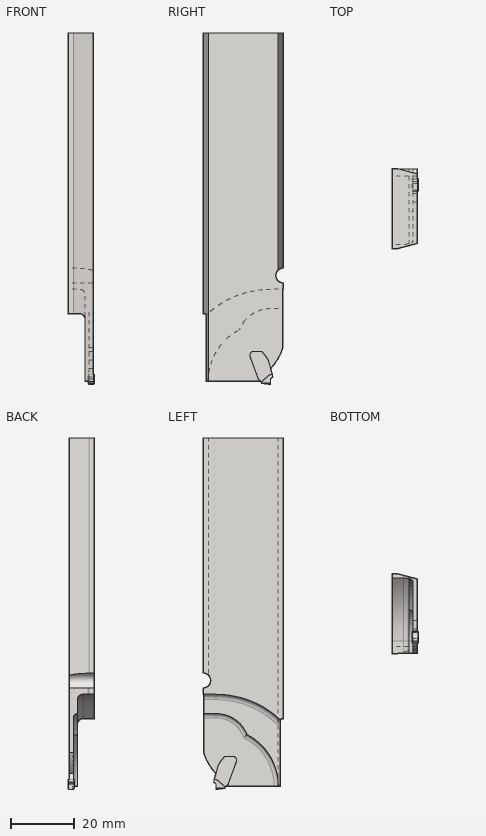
import cadquery as cq
import math

TOTAL_LENGTH = 110.0
SHANK_WIDTH = 25.1
SHANK_THICKNESS = 7.9
FLAT_EDGE = 1.6
BEVEL_INSET = 1.6
BLADE_END_Z = 1.0
HEAD_BACK_Y = 25.0

NOTCH_Z = 34.1
NOTCH_RADIUS = 2.3

RECESS_FLOOR_X = 5.3
RECESS_FILLET = 1.6
RECESS_RADIUS = 29.3
RECESS_TOP_Z = 29.8
RECESS_LEDGE_Z = 22.1
ARC_START_Y = 21.1

BLADE_FLOOR_X = 6.6
BLADE_FILLET = 1.3
INNER_RADIUS = 10.6
INNER_TOP_Z = 23.8
NOSE_RADIUS = 18.3
NOSE_CENTER_Y = 19.8

HEAD_OVERHANG = 0.3
HEAD_CHAMFER = 0.2
INSERT_TOP_Z = 10.3
HEAD_HEEL = (21.7, 3.2)
HEAD_STEP = (20.7, 3.0)
HEAD_TOE = (18.2, 0.8)

HEEL_TOP_Z = 11.9
HEEL_MIDDLE = (23.4, 8.0)
HEEL_END = (21.1, 5.0)

MARGIN = 3.3


def circle_height(center_y, center_z, radius, y):
    """Z of the upper half of a circle at a given Y."""
    return center_z + math.sqrt(radius**2 - (y - center_y) ** 2)


def slab(outline, x_start, x_end):
    """Extrude a YZ outline between two X positions."""
    return outline.extrude(x_end - x_start).translate((x_start, 0, 0))


def make_shank():
    blank = (
        cq.Workplane("XY", origin=(0, 0, BLADE_END_Z))
        .polyline([
            (0, 0),
            (FLAT_EDGE, 0),
            (SHANK_THICKNESS, BEVEL_INSET),
            (SHANK_THICKNESS, SHANK_WIDTH - BEVEL_INSET),
            (FLAT_EDGE, SHANK_WIDTH),
            (0, SHANK_WIDTH),
        ])
        .close()
        .extrude(TOTAL_LENGTH - BLADE_END_Z)
    )
    bevel_slope = BEVEL_INSET / (SHANK_THICKNESS - FLAT_EDGE)
    head_start_x = FLAT_EDGE + (SHANK_WIDTH - HEAD_BACK_Y) / bevel_slope
    square_back = cq.Workplane("XY", origin=(0, 0, BLADE_END_Z)).polyline([
        (head_start_x, SHANK_WIDTH / 2),
        (SHANK_THICKNESS, SHANK_WIDTH / 2),
        (SHANK_THICKNESS, HEAD_BACK_Y),
        (head_start_x, HEAD_BACK_Y),
    ]).close().extrude(NOTCH_Z - BLADE_END_Z)
    return blank.union(square_back)


def make_notch():
    circle = cq.Workplane("YZ").center(SHANK_WIDTH, NOTCH_Z).circle(NOTCH_RADIUS)
    return slab(circle, -MARGIN, SHANK_THICKNESS + MARGIN)


def make_outer_recess():
    center_z = RECESS_TOP_Z - RECESS_RADIUS
    ledge_rise = RECESS_LEDGE_Z - center_z
    arc_end_y = ARC_START_Y - math.sqrt(RECESS_RADIUS**2 - ledge_rise**2)
    middle_y = (ARC_START_Y + arc_end_y) / 2
    middle_z = circle_height(ARC_START_Y, center_z, RECESS_RADIUS, middle_y)
    outline = (
        cq.Workplane("YZ")
        .moveTo(SHANK_WIDTH + MARGIN, RECESS_TOP_Z)
        .lineTo(ARC_START_Y, RECESS_TOP_Z)
        .threePointArc((middle_y, middle_z), (arc_end_y, RECESS_LEDGE_Z))
        .lineTo(-MARGIN, RECESS_LEDGE_Z)
        .lineTo(-MARGIN, -MARGIN)
        .lineTo(SHANK_WIDTH + MARGIN, -MARGIN)
        .close()
    )
    return slab(outline, -MARGIN, RECESS_FLOOR_X).faces(">X").edges().fillet(RECESS_FILLET)


def make_inner_recess():
    """Two overlapping pockets: a rounded slot below the straight edge, and a disc behind the blade nose."""
    inner_center_z = INNER_TOP_Z - INNER_RADIUS
    diagonal = INNER_RADIUS * math.sqrt(0.5)
    slot_outline = (
        cq.Workplane("YZ")
        .moveTo(SHANK_WIDTH + MARGIN, INNER_TOP_Z)
        .lineTo(ARC_START_Y, INNER_TOP_Z)
        .threePointArc(
            (ARC_START_Y - diagonal, inner_center_z + diagonal),
            (ARC_START_Y - INNER_RADIUS, inner_center_z),
        )
        .lineTo(ARC_START_Y - INNER_RADIUS, -MARGIN)
        .lineTo(SHANK_WIDTH + MARGIN, -MARGIN)
        .close()
    )
    disc_outline = cq.Workplane("YZ").center(NOSE_CENTER_Y, BLADE_END_Z).circle(NOSE_RADIUS)
    slot, disc = [
        slab(outline, RECESS_FLOOR_X - MARGIN, BLADE_FLOOR_X).faces(">X").edges().fillet(BLADE_FILLET)
        for outline in (slot_outline, disc_outline)
    ]
    return slot.union(disc)


def make_heel_relief():
    """Cutter for the curved back corner of the blade, running up to the insert."""
    outline = (
        cq.Workplane("YZ")
        .moveTo(SHANK_WIDTH, HEEL_TOP_Z)
        .threePointArc(HEEL_MIDDLE, HEEL_END)
        .lineTo(HEAD_TOE[0], BLADE_END_Z)
        .lineTo(HEAD_TOE[0], -MARGIN)
        .lineTo(SHANK_WIDTH + MARGIN, -MARGIN)
        .lineTo(SHANK_WIDTH + MARGIN, HEEL_TOP_Z)
        .close()
    )
    return slab(outline, -MARGIN, SHANK_THICKNESS + MARGIN)


def make_insert():
    shank_outline = (
        cq.Workplane("YZ")
        .moveTo(18.4, INSERT_TOP_Z)
        .lineTo(15.6, INSERT_TOP_Z)
        .threePointArc((14.7, 9.7), (14.7, 8.6))
        .lineTo(17.3, 1.6)
        .lineTo(*HEAD_TOE)
        .lineTo(*HEAD_STEP)
        .lineTo(*HEAD_HEEL)
        .lineTo(*HEEL_END)
        .lineTo(20.4, 7.7)
        .lineTo(19.5, 9.0)
        .close()
    )
    insert_shank = slab(shank_outline, BLADE_FLOOR_X, SHANK_THICKNESS)

    head_x_min = BLADE_FLOOR_X - HEAD_OVERHANG
    head_x_max = SHANK_THICKNESS + HEAD_OVERHANG
    head_outline = cq.Workplane("YZ").polyline([
        HEAD_HEEL,
        HEAD_STEP,
        HEAD_TOE,
        (18.3, 0.3),
        (21.1, 0),
        (21.1, 1.8),
        (21.8, 2.3),
    ]).close()
    head = slab(head_outline, head_x_min, head_x_max)
    cutting_edge_form = cq.Workplane("XZ").polyline([
        (head_x_min + HEAD_CHAMFER, 0),
        (head_x_max - HEAD_CHAMFER, 0),
        (head_x_max, 2 * HEAD_CHAMFER),
        (head_x_max, INSERT_TOP_Z),
        (head_x_min, INSERT_TOP_Z),
        (head_x_min, 2 * HEAD_CHAMFER),
    ]).close().extrude(-SHANK_WIDTH)
    return insert_shank.union(head.intersect(cutting_edge_form))


insert = make_insert()
holder = (
    make_shank()
    .cut(make_notch())
    .cut(make_outer_recess())
    .cut(make_inner_recess())
    .cut(make_heel_relief())
    .cut(insert)
)

result = cq.Compound.makeCompound([holder.solids().val(), insert.solids().val()])